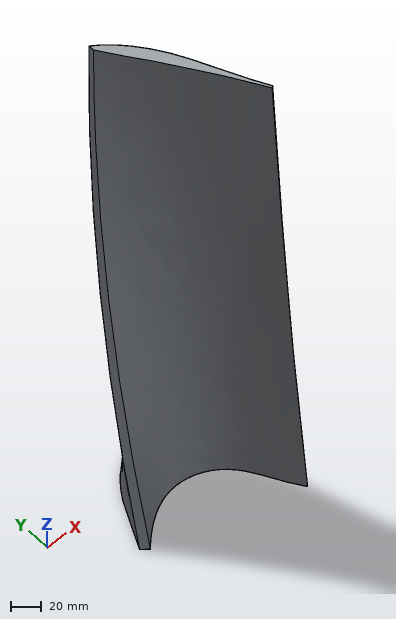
import cadquery as cq
import math

HEIGHT = 446.5

ROOT = dict(
    leading=(-55.5, -19.5),
    trailing=(56.5, -52.2),
    leading_half_edge=(2.5, -2.2),
    trailing_half_edge=1.5,
    convex=[(1.0, 23.0), (8.0, 51.5), (27.0, 74.0), (40.5, 73.2), (68.0, 56.3), (92.0, 32.5)],
    hollow=[(16.0, 18.8), (35.0, 35.0), (54.0, 39.7), (77.5, 34.0), (97.0, 18.0)],
)
MIDDLE = dict(
    leading=(-48.5, 27.0),
    trailing=(40.0, -52.0),
    leading_half_edge=(2.0, -2.0),
    trailing_half_edge=1.0,
    convex=[(4.5, 14.5), (15.5, 27.2), (31.3, 35.5), (49.0, 35.0), (76.0, 26.5), (98.2, 14.0)],
    hollow=[(18.0, 10.0), (38.0, 17.0), (58.0, 18.8), (82.5, 14.5), (100.5, 7.5)],
)
TIP = dict(
    leading=(-36.5, 52.0),
    trailing=(27.5, -51.0),
    leading_half_edge=(0.0, -2.2),
    trailing_half_edge=1.0,
    convex=[(6.5, 4.5), (20.0, 7.5), (38.0, 9.5), (56.0, 9.0), (80.5, 6.0), (102.5, 2.5)],
    hollow=[(20.0, -1.0), (40.0, 0.0), (62.5, 0.5), (85.0, 0.5), (105.0, 0.0)],
)


def section_wire(section, z):
    """Closed outline made of two smooth faces joined by blunt edges."""
    lead_x, lead_y = section["leading"]
    trail_x, trail_y = section["trailing"]
    chord = math.hypot(trail_x - lead_x, trail_y - lead_y)
    along_x = (trail_x - lead_x) / chord
    along_y = (trail_y - lead_y) / chord

    def place(distance, height):
        x = lead_x + distance * along_x - height * along_y
        y = lead_y + distance * along_y + height * along_x
        return cq.Vector(x, y, z)

    lead_dx, lead_dy = section["leading_half_edge"]
    trail_half = section["trailing_half_edge"]
    lead_outer = cq.Vector(lead_x - lead_dx, lead_y - lead_dy, z)
    lead_inner = cq.Vector(lead_x + lead_dx, lead_y + lead_dy, z)
    trail_outer = place(chord, trail_half)
    trail_inner = place(chord, -trail_half)

    convex = [lead_outer] + [place(*point) for point in section["convex"]] + [trail_outer]
    hollow = [lead_inner] + [place(*point) for point in section["hollow"]] + [trail_inner]
    return cq.Wire.assembleEdges([
        cq.Edge.makeSpline(convex),
        cq.Edge.makeLine(trail_outer, trail_inner),
        cq.Edge.makeSpline(hollow[::-1]),
        cq.Edge.makeLine(lead_inner, lead_outer),
    ])


wires = [
    section_wire(ROOT, 0),
    section_wire(MIDDLE, HEIGHT / 2),
    section_wire(TIP, HEIGHT),
]
result = cq.Workplane(cq.Solid.makeLoft(wires))